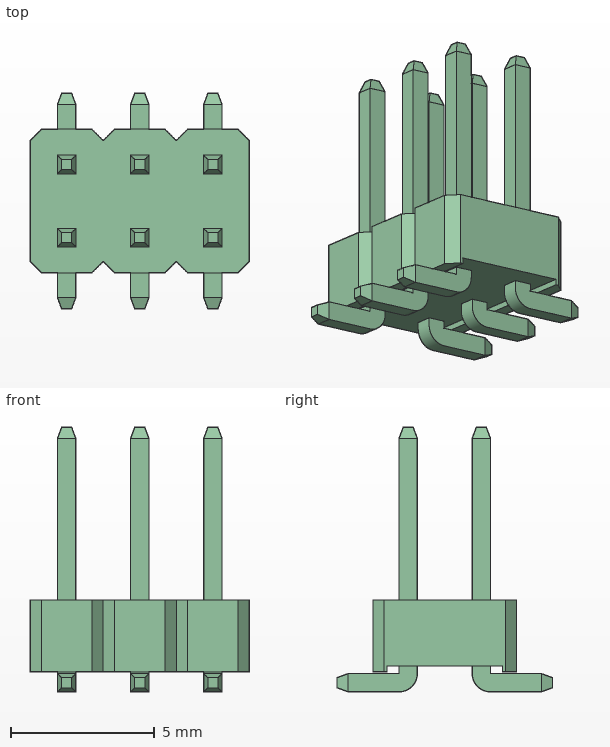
import cadquery as cq

column_count = 3
pitch = 2.54

total_height = 9.2
foot_span = 7.5

body_length = column_count * pitch
body_width = 5.0
body_bottom = 0.7
body_height = 2.5
corner_cut = 0.4
channel_width = 4.0
channel_depth = 0.2

pin_size = 0.64
tip_size = 0.35
tip_length = 0.4


def body_cell(x):
    """One cell of the body with cut corners, centred at the given X."""
    return (
        cq.Workplane("XY", origin=(x, 0, body_bottom))
        .rect(pitch, body_width)
        .extrude(body_height)
        .edges("|Z")
        .chamfer(corner_cut)
    )


def tapered_tip(base_plane):
    """Pyramid frustum that ends a pin, growing along the normal of its base plane."""
    return (
        cq.Workplane(base_plane)
        .rect(pin_size, pin_size)
        .workplane(offset=tip_length)
        .rect(tip_size, tip_size)
        .loft(ruled=True)
    )


def bent_pin(x):
    """L-shaped pin of the +Y row: vertical post, rounded heel and foot along +Y."""
    post_inner = (pitch - pin_size) / 2
    post_outer = post_inner + pin_size
    post_top = total_height - tip_length
    foot_end = foot_span / 2 - tip_length
    shank = (
        cq.Workplane("YZ", origin=(x - pin_size / 2, 0, 0))
        .moveTo(post_inner, post_top)
        .lineTo(post_inner, pin_size)
        .radiusArc((post_outer, 0), -pin_size)
        .lineTo(foot_end, 0)
        .lineTo(foot_end, pin_size)
        .lineTo(post_outer, pin_size)
        .lineTo(post_outer, post_top)
        .close()
        .extrude(pin_size)
    )
    top_plane = cq.Plane(origin=(x, pitch / 2, post_top), xDir=(1, 0, 0), normal=(0, 0, 1))
    foot_plane = cq.Plane(origin=(x, foot_end, pin_size / 2), xDir=(1, 0, 0), normal=(0, 1, 0))
    return shank.union(tapered_tip(top_plane)).union(tapered_tip(foot_plane))


column_positions = [(i - (column_count - 1) / 2) * pitch for i in range(column_count)]

body = body_cell(column_positions[0])
for x in column_positions[1:]:
    body = body.union(body_cell(x))

channel = (
    cq.Workplane("XY", origin=(0, 0, body_bottom))
    .rect(body_length, channel_width)
    .extrude(channel_depth)
)
result = body.cut(channel)

for x in column_positions:
    pin = bent_pin(x)
    result = result.union(pin).union(pin.mirror("XZ"))